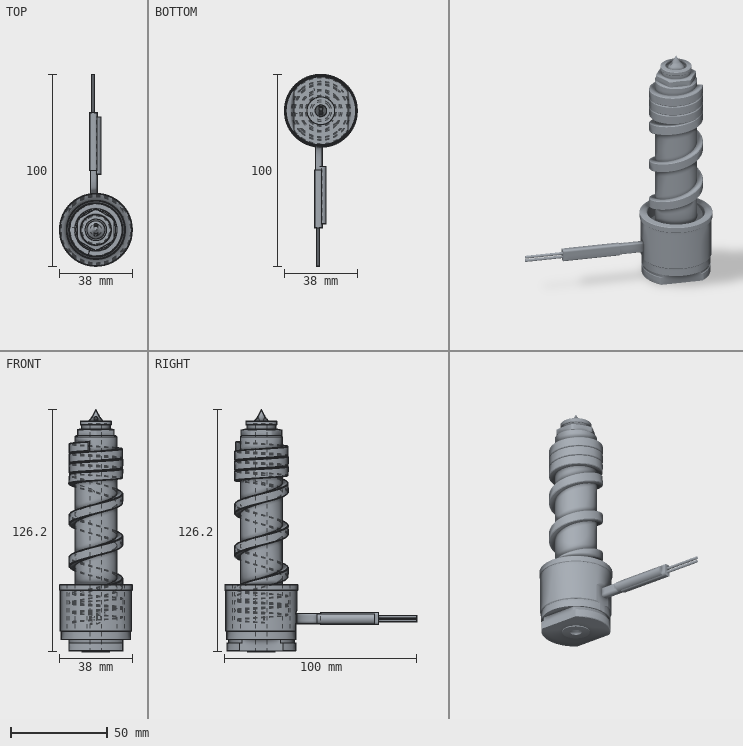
import cadquery as cq
import math

FOOT_HEIGHT = 0.4
FLANGE_TOP = 4.6
NECK_TOP = 6.5
COLLAR_TOP = 10.6
BODY_TOP = 32.0
HOUSING_TOP = 35.2
TUBE_TOP = 112.7
HEX_TOP = 116.1
NUT_GROOVE_TOP = 118.1
NUT_TOP = 120.4
TIP_SHOULDER = 122.4
TIP_TOP = 126.2

FOOT_RADIUS = 7.2
FLANGE_RADIUS = 18.0
NECK_RADIUS = 17.2
COLLAR_RADIUS = 18.1
BODY_RADIUS = 18.6
RIM_RADIUS = 19.0
BORE_RADIUS = 15.0
BORE_FLOOR = COLLAR_TOP
BORE_CHAMFER = 0.4
EDGE_CHAMFER = 0.3
BODY_CHAMFER = 0.45
FLATS_WIDTH = 28.0

OUTLET_DEPTH = 0.6
OUTLET_WIDTH = 12.0
OUTLET_TOP = 20.3
OUTLET_TAPER = 1.8

TUBE_RADIUS = 11.0
TUBE_CHAMFER = 0.7
CHANNEL_RADIUS = 3.0
CHANNEL_TOP = 118.3
HEX_SIDES = 6
HEX_WIDTH = 19.0
HEX_CORNER_RADIUS = 1.7
HEX_SLOPE_DROP = 0.6
NUT_RADIUS = 8.1
NUT_GROOVE_RADIUS = 7.6
RECESS_RADIUS = 5.6
RECESS_DEPTH = 1.4
TIP_BASE_RADIUS = 4.7
TIP_SHOULDER_RADIUS = 2.0
TIP_HOLE_DIAMETER = 2.0
TIP_HOLE_OFFSET = 2.4
TIP_HOLE_HEIGHT = 121.3
TIP_HOLE_TILT = 25.0
TIP_HOLE_LENGTH = 8.0

COIL_OUTER_RADIUS = 14.0
COIL_OVERLAP = 0.1
BAND_MIDDLE = (COIL_OUTER_RADIUS + TUBE_RADIUS) / 2
COIL_HEIGHT = 5.0
COIL_EDGE_CHAMFER = 0.35
COIL_END_ANGLE = 253.0
COIL_END_HEIGHT = 107.1
DENSE_PITCH = 5.24
OPEN_PITCH = 22.0
UPPER_DENSE_TURNS = 3.04
TRANSITION_TURNS = 0.41
OPEN_TURNS = 2.36
LOWER_DENSE_TURNS = 2.0
POINTS_PER_TURN = 16

CABLE_Z = 17.4
CABLE_LEFT = -2.85
LEAD_RIGHT = 0.75
LEAD_RIGHT_FILLET = 1.35
CABLE_HEIGHT = 5.5
CABLE_START = 18.45
CABLE_LEFT_FILLET = 0.6
STUB_INSET = 0.4
STUB_EMBEDMENT = 2.0
SLEEVE_LEFT = -3.25
SLEEVE_HEIGHT = 6.4
SLEEVE_START = 30.8
SLEEVE_END = 61.0
SLEEVE_LEFT_FILLET = 1.0
SENSOR_RADIUS = 2.6
SENSOR_X = 0.1
SENSOR_DROP = 0.2
SENSOR_START = 28.9
SENSOR_END = 58.9
WIRE_X = -1.5
WIRE_DIAMETER = 1.45
WIRE_SPACING = 1.95
WIRE_END = 81.0


def disc(radius, bottom, top):
    return cq.Workplane("XY").workplane(offset=bottom).circle(radius).extrude(top - bottom)


def bar(x_min, x_max, y_min, y_max, height):
    """Rectangular bar along Y, centred on the cable height."""
    size = (x_max - x_min, y_max - y_min, height)
    return cq.Workplane("XY").box(*size, centered=(False, False, True)).translate((x_min, y_min, CABLE_Z))


def rod(radius, x, z, y_min, y_max):
    """Round rod along Y."""
    return cq.Workplane("XZ").circle(radius).extrude(y_min - y_max).translate((x, y_min, z))


def make_base():
    """Foot, wrench flange and undercut neck with two flats facing +X and -X."""
    flange = disc(FLANGE_RADIUS, FOOT_HEIGHT, FLANGE_TOP).faces("<Z").chamfer(EDGE_CHAMFER)
    base = flange.union(disc(NECK_RADIUS, FLANGE_TOP, NECK_TOP))
    flats = cq.Workplane("XY").box(FLATS_WIDTH, 2 * RIM_RADIUS, 2 * NECK_TOP)
    return base.intersect(flats).union(disc(FOOT_RADIUS, 0, FOOT_HEIGHT))


def make_housing():
    collar = disc(COLLAR_RADIUS, NECK_TOP, COLLAR_TOP)
    body = disc(BODY_RADIUS, COLLAR_TOP, BODY_TOP).faces("<Z").chamfer(BODY_CHAMFER)
    rim = disc(RIM_RADIUS, BODY_TOP, HOUSING_TOP).edges().chamfer(EDGE_CHAMFER)
    bore = disc(BORE_RADIUS, BORE_FLOOR, HOUSING_TOP)
    housing = collar.union(body).union(rim).cut(bore)
    bore_edge = cq.selectors.RadiusNthSelector(0)
    housing = housing.faces(">Z").edges(bore_edge).chamfer(BORE_CHAMFER)
    return housing.cut(make_outlet_flat())


def make_outlet_flat():
    """Wedge-topped cutter that flattens the +Y wall below the cable outlet."""
    flat_y = BODY_RADIUS - OUTLET_DEPTH
    return (
        cq.Workplane("YZ")
        .moveTo(flat_y, NECK_TOP)
        .lineTo(flat_y, OUTLET_TOP)
        .lineTo(BODY_RADIUS, OUTLET_TOP + OUTLET_TAPER)
        .lineTo(RIM_RADIUS, OUTLET_TOP + OUTLET_TAPER)
        .lineTo(RIM_RADIUS, NECK_TOP)
        .close()
        .extrude(OUTLET_WIDTH / 2, both=True)
    )


def make_hex():
    """Hexagon with corners on the Y axis, rounded corners and a conical top."""
    corner_radius = HEX_WIDTH / math.sqrt(3)
    hexagon = (
        cq.Workplane("XY")
        .workplane(offset=TUBE_TOP)
        .transformed(rotate=(0, 0, 180 / HEX_SIDES))
        .polygon(HEX_SIDES, 2 * corner_radius)
        .extrude(HEX_TOP - TUBE_TOP)
        .edges("|Z")
        .fillet(HEX_CORNER_RADIUS)
    )
    cone = (
        cq.Workplane("XZ")
        .moveTo(0, TUBE_TOP)
        .lineTo(corner_radius, TUBE_TOP)
        .lineTo(corner_radius, HEX_TOP - HEX_SLOPE_DROP)
        .lineTo(NUT_RADIUS, HEX_TOP)
        .lineTo(0, HEX_TOP)
        .close()
        .revolve(360, (0, 0, 0), (0, 1, 0))
    )
    return hexagon.intersect(cone)


def make_tip():
    """Flared needle tip rising from the floor of the nut recess."""
    floor = NUT_TOP - RECESS_DEPTH
    return (
        cq.Workplane("XZ")
        .moveTo(0, floor)
        .lineTo(TIP_BASE_RADIUS, floor)
        .lineTo(TIP_SHOULDER_RADIUS, TIP_SHOULDER)
        .lineTo(0, TIP_TOP)
        .close()
        .revolve(360, (0, 0, 0), (0, 1, 0))
    )


def make_nozzle():
    tube = disc(TUBE_RADIUS, NECK_TOP, TUBE_TOP).faces(">Z").chamfer(TUBE_CHAMFER)
    nut = disc(NUT_GROOVE_RADIUS, HEX_TOP, NUT_GROOVE_TOP)
    nut = nut.union(disc(NUT_RADIUS, NUT_GROOVE_TOP, NUT_TOP).edges().chamfer(EDGE_CHAMFER))
    nut = nut.cut(disc(RECESS_RADIUS, NUT_TOP - RECESS_DEPTH, NUT_TOP))
    return tube.union(make_hex()).union(nut).union(make_tip())


def make_tip_hole(side):
    """Slanted melt hole that leaves the channel beside the tip, on the given side of Y."""
    hole = cq.Workplane("XY").circle(TIP_HOLE_DIAMETER / 2).extrude(TIP_HOLE_LENGTH / 2, both=True)
    hole = hole.rotate((0, 0, 0), (1, 0, 0), -side * TIP_HOLE_TILT)
    return hole.translate((0, side * TIP_HOLE_OFFSET, TIP_HOLE_HEIGHT))


def coil_drop(turns):
    """Height lost below the coil's upper end after a number of turns."""
    ramp = OPEN_PITCH - DENSE_PITCH
    stages = (
        (UPPER_DENSE_TURNS, DENSE_PITCH, 0),
        (TRANSITION_TURNS, DENSE_PITCH, ramp),
        (OPEN_TURNS, OPEN_PITCH, 0),
        (TRANSITION_TURNS, OPEN_PITCH, -ramp),
        (LOWER_DENSE_TURNS, DENSE_PITCH, 0),
    )
    drop = 0
    for length, start_pitch, pitch_change in stages:
        part = min(turns, length)
        drop += start_pitch * part + pitch_change * part ** 2 / (2 * length)
        turns -= part
    return drop


def coil_point(turns):
    angle = math.radians(COIL_END_ANGLE - 360 * turns)
    return (
        BAND_MIDDLE * math.cos(angle),
        BAND_MIDDLE * math.sin(angle),
        COIL_END_HEIGHT - coil_drop(turns),
    )


def make_coil():
    """Flat band wound round the tube: dense at both ends, open in the middle."""
    total_turns = UPPER_DENSE_TURNS + OPEN_TURNS + LOWER_DENSE_TURNS + 2 * TRANSITION_TURNS
    count = round(total_turns * POINTS_PER_TURN)
    path = cq.Workplane("XY").spline([coil_point(total_turns * i / count) for i in range(count + 1)])
    half_height = COIL_HEIGHT / 2
    inner_radius = TUBE_RADIUS - COIL_OVERLAP
    chamfer_start = COIL_OUTER_RADIUS - COIL_EDGE_CHAMFER
    section = (
        cq.Workplane("XZ", origin=(0, 0, COIL_END_HEIGHT))
        .moveTo(inner_radius, -half_height)
        .lineTo(chamfer_start, -half_height)
        .lineTo(COIL_OUTER_RADIUS, COIL_EDGE_CHAMFER - half_height)
        .lineTo(COIL_OUTER_RADIUS, half_height - COIL_EDGE_CHAMFER)
        .lineTo(chamfer_start, half_height)
        .lineTo(inner_radius, half_height)
        .close()
    )
    wire = section.wires().val().rotate(cq.Vector(0, 0, 0), cq.Vector(0, 0, 1), COIL_END_ANGLE)
    return cq.Workplane("XY").newObject([wire]).toPending().sweep(path, isFrenet=True)


def make_flat_lead(x_min, x_max, y_min, y_max, height, left_fillet):
    """Flat lead with small fillets on its -X side and larger ones on its +X side."""
    lead = bar(x_min, x_max, y_min, y_max, height)
    lead = lead.edges("|Y and <X").fillet(left_fillet)
    return lead.edges("|Y and >X").fillet(LEAD_RIGHT_FILLET)


def make_cable():
    """Flat cable and sleeve, round sensor lead beside the sleeve, and two end wires."""
    cable = make_flat_lead(CABLE_LEFT, LEAD_RIGHT, CABLE_START, SLEEVE_START, CABLE_HEIGHT, CABLE_LEFT_FILLET)
    sleeve = make_flat_lead(SLEEVE_LEFT, LEAD_RIGHT, SLEEVE_START, SLEEVE_END, SLEEVE_HEIGHT, SLEEVE_LEFT_FILLET)
    stub = bar(
        CABLE_LEFT + STUB_INSET,
        LEAD_RIGHT - STUB_INSET,
        BODY_RADIUS - STUB_EMBEDMENT,
        CABLE_START,
        CABLE_HEIGHT - 2 * STUB_INSET,
    )
    leads = cable.union(sleeve).union(stub)
    leads = leads.union(rod(SENSOR_RADIUS, SENSOR_X, CABLE_Z - SENSOR_DROP, SENSOR_START, SENSOR_END))
    for side in (-1, 1):
        wire_z = CABLE_Z + side * WIRE_SPACING / 2
        leads = leads.union(rod(WIRE_DIAMETER / 2, WIRE_X, wire_z, SLEEVE_END, WIRE_END))
    return leads


result = make_base().union(make_housing()).union(make_nozzle()).union(make_cable())
result = result.cut(disc(CHANNEL_RADIUS, 0, CHANNEL_TOP))
for hole_side in (-1, 1):
    result = result.cut(make_tip_hole(hole_side))
result = result.union(make_coil())